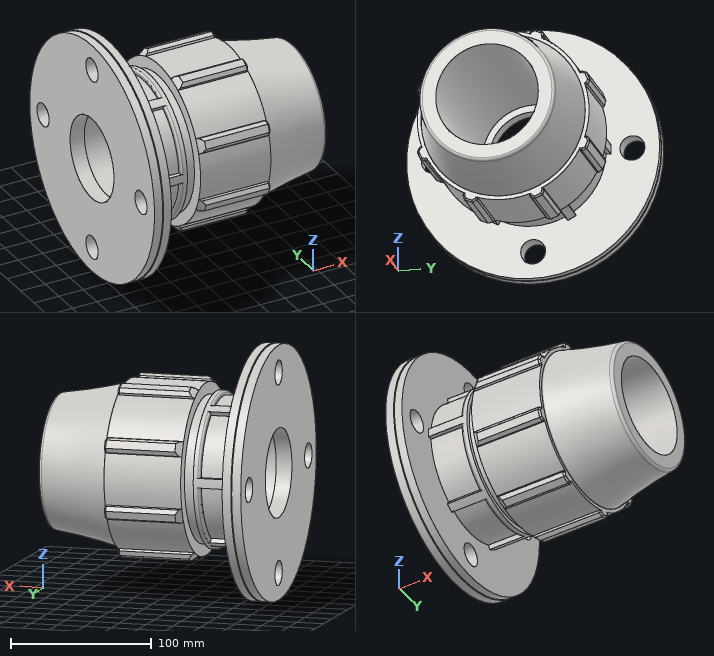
import cadquery as cq
import math


flange_radius = 92.5
flange_thickness = 13.9
joint_start = 6.8
joint_width = 0.5
joint_depth = 0.4
bolt_count = 4
bolt_hole_diameter = 18.0
bolt_circle_radius = 72.5

neck_radius = 107.1 / 2
collar_radius = 114.0 / 2
collar_start = 41.3
collar_end = 46.2
collar_round = 1.7
hub_rib_count = 6
hub_rib_width = 7.0

nut_start = 53.8
nut_end = 111.0
nut_radius = 62.7
grip_count = 8
grip_top_radius = 67.0
grip_root_radius = 60.0
grip_shoulder_radius = 64.2
grip_top_width = 6.1
grip_base_width = 11.1
grip_rear_chamfer = 1.3

taper_start = 111.5
total_length = 164.0
taper_start_radius = 60.0
taper_end_radius = 49.5
taper_sag = 1.0
end_round = 2.2

passage_diameter = 65.0
socket_diameter = 75.0
socket_start = 11.7


def cylinder_along_x(start, end, radius):
    return cq.Workplane("YZ", origin=(start, 0, 0)).circle(radius).extrude(end - start)


def make_flange():
    flange = cylinder_along_x(0, flange_thickness, flange_radius)
    joint_end = joint_start + joint_width
    groove = cylinder_along_x(joint_start, joint_end, flange_radius).cut(
        cylinder_along_x(joint_start, joint_end, flange_radius - joint_depth)
    )
    bolt_holes = (
        cq.Workplane("YZ")
        .polarArray(bolt_circle_radius, 0, 360, bolt_count)
        .circle(bolt_hole_diameter / 2)
        .extrude(flange_thickness)
    )
    return flange.cut(groove).cut(bolt_holes)


def make_hub():
    neck = cylinder_along_x(flange_thickness, nut_start, neck_radius)
    collar = cylinder_along_x(collar_start, collar_end, collar_radius)
    collar = collar.faces("<X").edges().fillet(collar_round)
    hub = neck.union(collar)

    rib_end = collar_start + collar_round
    rib_length = rib_end - flange_thickness
    rib_envelope = cylinder_along_x(flange_thickness, rib_end, collar_radius)
    for index in range(hub_rib_count // 2):
        bar = (
            cq.Workplane("YZ", origin=(flange_thickness, 0, 0))
            .rect(2 * flange_radius, hub_rib_width)
            .extrude(rib_length)
            .rotate((0, 0, 0), (1, 0, 0), index * 360 / hub_rib_count)
        )
        hub = hub.union(bar.intersect(rib_envelope))
    return hub


def make_nut():
    nut = cylinder_along_x(nut_start, nut_end, nut_radius)

    outer_radius = math.hypot(grip_top_radius, grip_top_width / 2)
    front_chamfer = outer_radius - nut_radius
    grip_envelope = cylinder_along_x(nut_start, nut_end, outer_radius)
    grip_envelope = grip_envelope.faces("<X").edges().chamfer(front_chamfer)

    grip = (
        cq.Workplane("YZ", origin=(nut_start, 0, 0))
        .moveTo(grip_root_radius, -grip_base_width / 2)
        .lineTo(grip_shoulder_radius, -grip_base_width / 2)
        .lineTo(grip_top_radius, -grip_top_width / 2)
        .lineTo(grip_top_radius, grip_top_width / 2)
        .lineTo(grip_shoulder_radius, grip_base_width / 2)
        .lineTo(grip_root_radius, grip_base_width / 2)
        .close()
        .extrude(nut_end - nut_start)
        .intersect(grip_envelope)
        .faces(">X")
        .edges()
        .chamfer(grip_rear_chamfer)
    )
    grip_pitch = 360 / grip_count
    for index in range(grip_count):
        nut = nut.union(grip.rotate((0, 0, 0), (1, 0, 0), (index + 0.5) * grip_pitch))
    return nut


def make_taper():
    rounding_start = total_length - end_round
    middle_x = (taper_start + rounding_start) / 2
    middle_radius = (taper_start_radius + taper_end_radius) / 2 - taper_sag
    diagonal = end_round * math.sqrt(0.5)
    return (
        cq.Workplane("XY")
        .moveTo(nut_end, 0)
        .lineTo(nut_end, taper_start_radius)
        .lineTo(taper_start, taper_start_radius)
        .threePointArc((middle_x, middle_radius), (rounding_start, taper_end_radius))
        .threePointArc(
            (rounding_start + diagonal, taper_end_radius - end_round + diagonal),
            (total_length, taper_end_radius - end_round),
        )
        .lineTo(total_length, 0)
        .close()
        .revolve(360, (0, 0, 0), (1, 0, 0))
    )


def make_bore():
    passage = cylinder_along_x(0, socket_start, passage_diameter / 2)
    socket = cylinder_along_x(socket_start, total_length, socket_diameter / 2)
    return passage.union(socket)


body = make_flange().union(make_hub()).union(make_nut()).union(make_taper())
result = body.cut(make_bore())